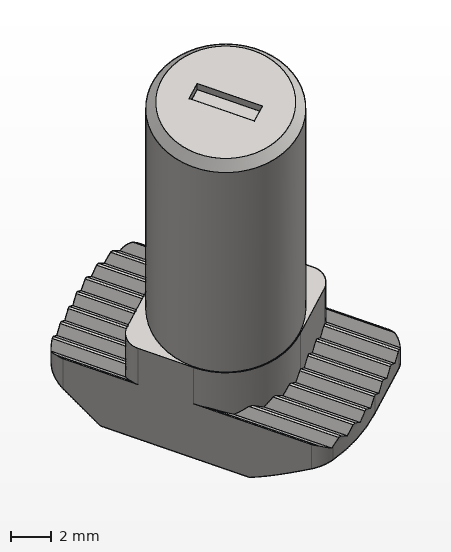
import cadquery as cq

total_height = 24.5
body_width = 8.0

head_length = 16.0
head_height = 4.5
head_bevel = 3.0
corner_radius = 1.0

neck_height = 3.0
shank_diameter = 7.9
shank_chamfer = 0.5

tooth_pitch = 1.0
crest_width = 0.14
tooth_depth = 0.45

slot_length = 3.5
slot_width = 1.0
slot_depth = 0.5

half_length = head_length / 2
half_width = body_width / 2
neck_top = head_height + neck_height


def turning_body(half_span, height, bevel=0.0):
    """Body with two square corners and two corners turned about Z, bevelled underneath.

    The square corners lie at (-X, -Y) and (+X, +Y). The turned corners let the
    bolt rotate a quarter turn in its groove.
    """
    body = cq.Workplane("XY").circle(half_span).extrude(height)
    if bevel > 0:
        body = body.faces("<Z").chamfer(bevel)

    for side in (-1, 1):
        foot = side * (half_span - bevel)
        tip = side * half_span
        square_corner = cq.Workplane("XZ").lineTo(foot, 0)
        if bevel > 0:
            square_corner = square_corner.lineTo(tip, bevel)
        square_corner = (
            square_corner.lineTo(tip, height)
            .lineTo(0, height)
            .close()
            .extrude(-side * half_width)
        )
        body = body.union(square_corner)

    width_limit = cq.Workplane("XY").box(
        2 * half_span, body_width, height, centered=(True, True, False)
    )
    return body.intersect(width_limit)


def make_head():
    """T-head: bevelled ends with all four upright corners rounded."""
    rounded_plan = (
        turning_body(half_length, head_height)
        .edges("|Z")
        .edges("<Y or >Y")
        .fillet(corner_radius)
    )
    return turning_body(half_length, head_height, head_bevel).intersect(rounded_plan)


def cut_serrations(head):
    """Cut V-grooves along X, leaving narrow flat crests and a crest on each long edge."""
    groove_count = round(body_width / tooth_pitch)
    groove_half_width = (tooth_pitch - crest_width) / 2
    for index in range(groove_count):
        root = -half_width + (index + 0.5) * tooth_pitch
        groove = (
            cq.Workplane("YZ", origin=(-half_length, 0, 0))
            .moveTo(root - groove_half_width, head_height)
            .lineTo(root, head_height - tooth_depth)
            .lineTo(root + groove_half_width, head_height)
            .close()
            .extrude(head_length)
        )
        head = head.cut(groove)
    return head


def make_neck():
    """Neck with its two square corners rounded, running down through the head."""
    return (
        turning_body(half_width, neck_top)
        .edges("|Z")
        .edges("<(1, 1, 0) or >(1, 1, 0)")
        .fillet(corner_radius)
    )


def make_shank():
    """Round shank with a chamfered end and a shallow slot."""
    shank = (
        cq.Workplane("XY", origin=(0, 0, neck_top))
        .circle(shank_diameter / 2)
        .extrude(total_height - neck_top)
        .faces(">Z")
        .chamfer(shank_chamfer)
    )
    slot = (
        cq.Workplane("XY", origin=(0, 0, total_height))
        .rect(slot_length, slot_width)
        .extrude(-slot_depth)
    )
    return shank.cut(slot)


result = cut_serrations(make_head()).union(make_neck()).union(make_shank())